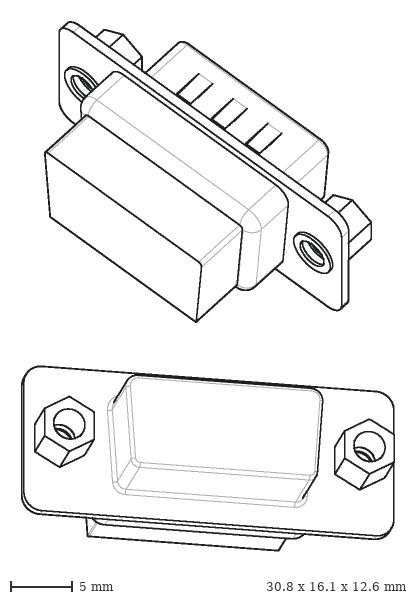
import cadquery as cq
import math

flange_width = 30.8
flange_height = 12.55
flange_thickness = 0.85
flange_corner_radius = 1.5

connector_offset = -0.05

side_slant = math.tan(math.radians(4.0))

hood_height = 10.85
hood_mid_width = 18.75
hood_depth = 4.38
hood_top_radius = 1.4
hood_bottom_radius = 1.25
hood_edge_radius = 1.05
block_inset = 1.1
block_depth = 9.37
block_top_radius = 0.35
block_bottom_radius = 0.1

shell_height = 7.95
shell_mid_width = 16.0
shell_depth = 5.9
shell_top_radius = 1.02
shell_bottom_radius = 0.7
shell_rim_radius = 0.3
shell_root_radius = 0.35

recess_count = 3
recess_pitch = 3.75
recess_width = 1.5
recess_length = 2.7
recess_depth = 0.22
recess_from_rim = 1.8

screw_spacing = 25.0
hex_sides = 6
hex_across_flats = 4.13
hex_length = 3.8
collar_diameter = 4.0
collar_thickness = 0.28
bore_diameter = 2.6
flange_hole_diameter = 3.4

flange_back = flange_thickness
shell_back = flange_back + shell_depth


def along_y(y_start):
    """Workplane at y_start whose local x is +X, local y is +Z and normal is -Y."""
    return cq.Workplane("XZ", origin=(0, y_start, 0))


def tapered_prism(y_front, y_back, height, mid_width, top_radius, bottom_radius):
    """Prism along Y with a symmetric tapered outline and rounded long edges."""
    half_height = height / 2
    half_top = mid_width / 2 + half_height * side_slant
    half_bottom = mid_width / 2 - half_height * side_slant
    outline = [
        (-half_top, half_height),
        (half_top, half_height),
        (half_bottom, -half_height),
        (-half_bottom, -half_height),
    ]
    prism = along_y(y_back).polyline(outline).close().extrude(y_back - y_front)
    prism = prism.edges("|Y and >Z").fillet(top_radius)
    return prism.edges("|Y and <Z").fillet(bottom_radius)


def make_flange():
    plate = along_y(flange_back).rect(flange_width, flange_height).extrude(flange_thickness)
    return plate.edges("|Y").fillet(flange_corner_radius)


def make_hood():
    hood = tapered_prism(-hood_depth, 0, hood_height, hood_mid_width, hood_top_radius, hood_bottom_radius)
    return hood.faces("<Y").edges().fillet(hood_edge_radius)


def make_block():
    return tapered_prism(
        -block_depth,
        0,
        hood_height - 2 * block_inset,
        hood_mid_width - 2 * block_inset,
        block_top_radius,
        block_bottom_radius,
    )


def make_shell():
    shell = tapered_prism(
        flange_back, shell_back, shell_height, shell_mid_width, shell_top_radius, shell_bottom_radius
    )
    return shell.faces(">Y").edges().fillet(shell_rim_radius)


def make_recesses():
    """Wedges that start flush at the rear and get deeper toward the flange."""
    top = shell_height / 2
    rear = shell_back - recess_from_rim
    front = rear - recess_length
    wedge = (
        cq.Workplane("YZ")
        .polyline([(rear, top), (front, top), (front, top - recess_depth)])
        .close()
        .extrude(recess_width / 2, both=True)
    )
    recesses = cq.Workplane("XY")
    for index in range(recess_count):
        offset = (index - (recess_count - 1) / 2) * recess_pitch
        recesses = recesses.add(wedge.translate((offset, 0, 0)))
    return recesses.combine()


def at_screws(part):
    """Copies of a part at both screw positions."""
    left = part.translate((-screw_spacing / 2, 0, 0))
    right = part.translate((screw_spacing / 2, 0, 0))
    return left.union(right)


def make_screws():
    """Hexagonal nuts behind the flange, corners up, and round collars in front of it."""
    half_sector = 180 / hex_sides
    hex_across_corners = hex_across_flats / math.cos(math.radians(half_sector))
    nut = along_y(flange_back + hex_length).polygon(hex_sides, hex_across_corners).extrude(hex_length)
    nut = nut.rotate((0, 0, 0), (0, 1, 0), half_sector)
    collar = along_y(0).circle(collar_diameter / 2).extrude(collar_thickness)
    return at_screws(nut.union(collar))


def make_bores():
    """Through bores, wider in the flange than in the collar and the nut."""
    length = collar_thickness + flange_thickness + hex_length
    bore = along_y(flange_back + hex_length).circle(bore_diameter / 2).extrude(length)
    flange_hole = along_y(flange_back).circle(flange_hole_diameter / 2).extrude(flange_thickness)
    return at_screws(bore.union(flange_hole))


def fillet_shell_root(body):
    """Round the inside corner where the rear shell meets the flange."""
    margin = shell_root_radius / 2
    half_width = (screw_spacing - hex_across_flats) / 2
    half_height = shell_height / 2 + margin
    root_zone = cq.selectors.BoxSelector(
        (-half_width, flange_back - margin, -half_height),
        (half_width, flange_back + margin, half_height),
    )
    return body.edges(root_zone).fillet(shell_root_radius)


connector = make_flange().translate((-connector_offset, 0, 0)).union(make_shell())
connector = fillet_shell_root(connector)
connector = connector.union(make_hood()).union(make_block()).union(make_screws())
connector = connector.cut(make_recesses()).cut(make_bores())
result = connector.translate((connector_offset, 0, 0))